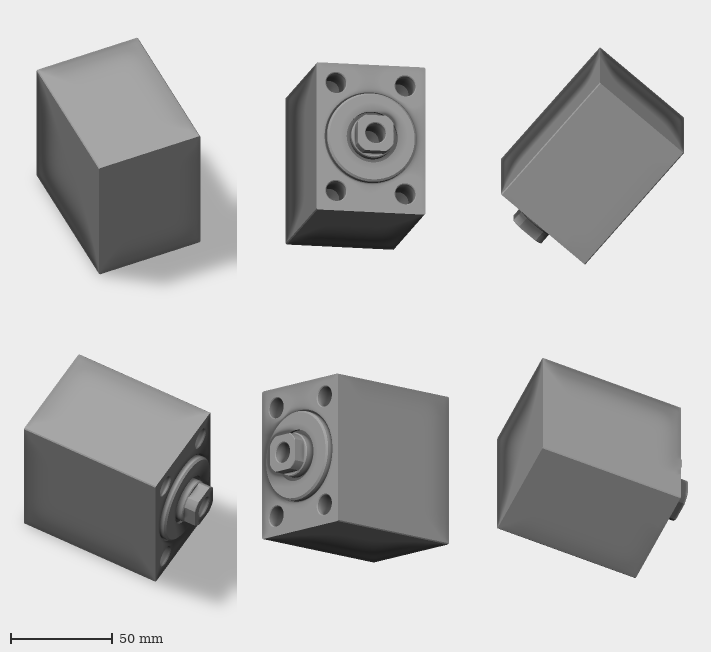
import cadquery as cq
import math


overall_length = 87.0
rod_projection = 12.0
housing_length = overall_length - rod_projection
housing_width = 55.0
housing_height = 75.0
edge_chamfer = 0.5

gland_diameter = 45.0
gland_projection = 3.0
gland_chamfer = 1.0
bore_depth = 20.0
bore_chamfer = 1.0

recess_diameter = 25.75
recess_depth = 1.5

rod_diameter = 22.0
rod_chamfer = 0.5
tip_length = 6.0
tip_diameter = rod_diameter - 2 * rod_chamfer
tip_chamfer = 0.3
across_flats = 18.0

hole_diameter = 10.2
hole_chamfer = 0.4
hole_depth = 17.4
drill_point_angle = 118.0
mounting_spacing_y = 35.0
mounting_spacing_z = 55.0


def cylinder(diameter, start_x, end_x):
    """Cylinder on the rod axis between two X positions."""
    return cq.Workplane("YZ", origin=(start_x, 0, 0)).circle(diameter / 2).extrude(end_x - start_x)


def drill_cutter(face_x, y=0, z=0):
    """Blind hole shape entering a face toward +X, with a chamfered mouth and a conical bottom."""
    radius = hole_diameter / 2
    point_length = radius / math.tan(math.radians(drill_point_angle / 2))
    half_profile = (
        cq.Workplane("XY")
        .moveTo(0, 0)
        .lineTo(0, radius + hole_chamfer)
        .lineTo(hole_chamfer, radius)
        .lineTo(hole_depth, radius)
        .lineTo(hole_depth + point_length, 0)
        .close()
    )
    return half_profile.revolve(360, (0, 0, 0), (1, 0, 0)).translate((face_x, y, z))


def make_housing():
    block = cq.Workplane("XY").box(
        housing_length, housing_width, housing_height, centered=(False, True, True)
    )
    block = block.edges("|X").chamfer(edge_chamfer)
    bore = cylinder(gland_diameter, 0, bore_depth)
    block = block.cut(bore)
    block = block.faces("<X").edges("%CIRCLE").chamfer(bore_chamfer)
    for side_y in (-1, 1):
        for side_z in (-1, 1):
            y = side_y * mounting_spacing_y / 2
            z = side_z * mounting_spacing_z / 2
            block = block.cut(drill_cutter(0, y, z))
    return block


def make_gland():
    front_x = -gland_projection
    gland = cylinder(gland_diameter, front_x, bore_depth)
    gland = gland.faces("<X").edges().chamfer(gland_chamfer)
    recess = cylinder(recess_diameter, front_x, front_x + recess_depth)
    rod_bore = cylinder(rod_diameter, front_x, bore_depth)
    return gland.cut(recess).cut(rod_bore)


def make_rod():
    tip_x = -rod_projection
    shoulder_x = tip_x + tip_length
    shank = cylinder(rod_diameter, shoulder_x, bore_depth)
    shank = shank.faces("<X").edges().chamfer(rod_chamfer)
    tip = cylinder(tip_diameter, tip_x, shoulder_x)
    tip = tip.faces("<X").edges().chamfer(tip_chamfer)
    flats = cq.Workplane("XY").box(tip_length, across_flats, across_flats).translate(
        (tip_x + tip_length / 2, 0, 0)
    )
    return shank.union(tip.intersect(flats)).cut(drill_cutter(tip_x))


housing = make_housing()
gland = make_gland()
rod = make_rod()

result = cq.Compound.makeCompound([housing.val(), gland.val(), rod.val()])